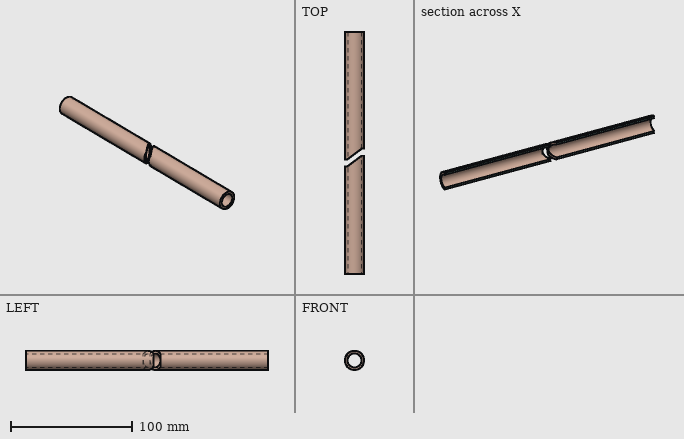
import cadquery as cq

outer_diameter = 16.0
bore_diameter = 11.4
outer_radius = outer_diameter / 2

overall_length = 200.0
end_y = overall_length / 2

gap_along_y = 5.7
flat_width = 2.0
slant_rise = 9.0
rear_tip_y = -5.5
slant_half_span = outer_radius - flat_width


def tube_blank():
    """Full-length tube along Y, before it is parted."""
    return (
        cq.Workplane("XZ", origin=(0, end_y, 0))
        .circle(outer_radius)
        .circle(bore_diameter / 2)
        .extrude(overall_length)
    )


def tube_piece(square_end_y, tip_y):
    """Tube from its square end to a mitred end whose -X edge is at tip_y."""
    far_edge_y = tip_y + slant_rise
    keep_zone = (
        cq.Workplane("XY")
        .moveTo(-outer_radius, square_end_y)
        .lineTo(-outer_radius, tip_y)
        .lineTo(-slant_half_span, tip_y)
        .lineTo(slant_half_span, far_edge_y)
        .lineTo(outer_radius, far_edge_y)
        .lineTo(outer_radius, square_end_y)
        .close()
        .extrude(outer_radius, both=True)
    )
    return tube_blank().intersect(keep_zone)


front_tube = tube_piece(-end_y, rear_tip_y - gap_along_y)
rear_tube = tube_piece(end_y, rear_tip_y)

result = cq.Compound.makeCompound([front_tube.val(), rear_tube.val()])